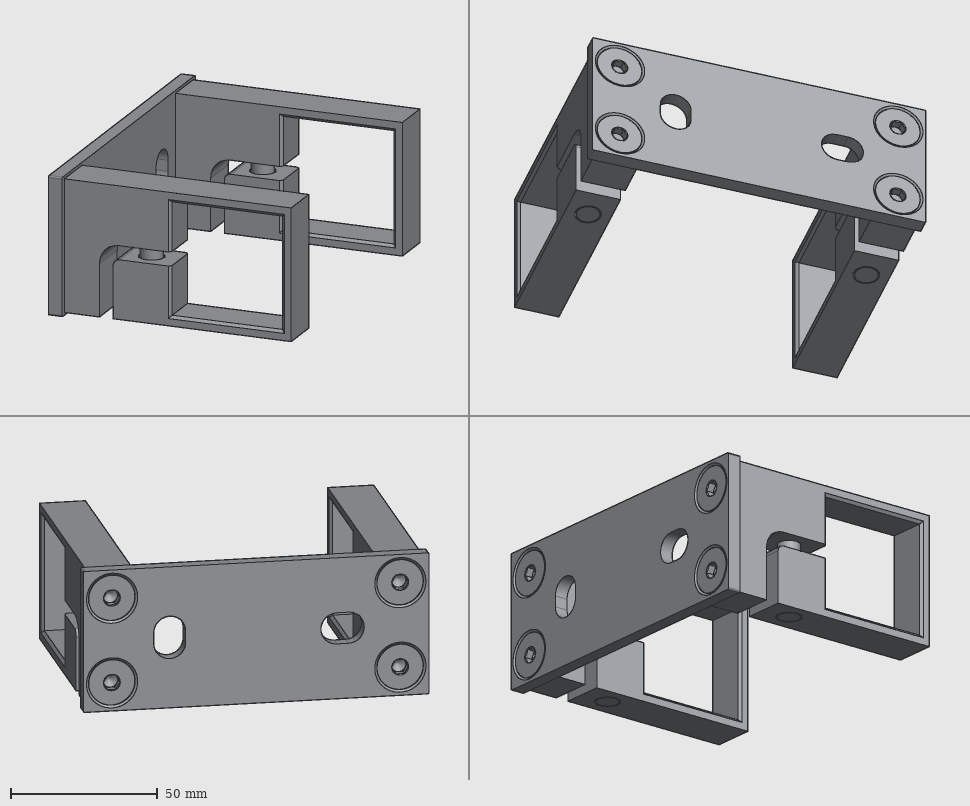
import cadquery as cq
import math

plate_thickness = 5.0
plate_width = 120.0
plate_height = 50.0
plate_corner_radius = 0.53
slot_spacing = 60.0
slot_length = 15.0
slot_width = 11.0

overall_depth = 88.5
bracket_spacing = 100.1
bracket_width = 16.0
bracket_height = 48.0
wall_thickness = 2.5
window_size = 42.7
window_chamfer = 1.02
gap_width = 5.0
gap_start = 18.0
gap_inner_radius = 2.3
gap_outer_radius = gap_inner_radius + gap_width

screw_row_spacing = 30.0
shank_diameter = 8.0
countersink_diameter = 17.8
head_diameter = 16.1
head_recess = 0.4
screw_tip = 15.0
socket_flats = 5.0
socket_corners = socket_flats / math.cos(math.radians(30))
socket_depth = 3.0
socket_tip_depth = 1.5

clamp_screw_x = 34.0
clamp_screw_diameter = shank_diameter
clamp_screw_top = 14.4
clamp_clearance_diameter = 9.0

bracket_length = overall_depth - plate_thickness
window_end = overall_depth - wall_thickness
window_start = window_end - window_size
bracket_centres = [-bracket_spacing / 2, bracket_spacing / 2]
screw_rows = [-screw_row_spacing / 2, screw_row_spacing / 2]
countersink_depth = (countersink_diameter - shank_diameter) / 2
rim_end = (countersink_diameter - head_diameter) / 2


def along_x(x_start):
    """Workplane facing +X whose local axes are Y and Z."""
    return cq.Workplane("YZ", origin=(x_start, 0, 0))


def revolve_about_x(profile):
    """Revolve a closed (X, radius) profile about the X axis."""
    return cq.Workplane("XZ").polyline(profile).close().revolve(360, (0, 0, 0), (1, 0, 0))


def make_screw_space():
    """Countersunk hole, with the blind hole behind it, that receives a plate screw."""
    return revolve_about_x([
        (0, 0),
        (0, countersink_diameter / 2),
        (countersink_depth, shank_diameter / 2),
        (screw_tip, shank_diameter / 2),
        (screw_tip, 0),
    ])


def make_socket():
    """Hexagonal socket with a round chamfered mouth and a conical bottom, starting at X = 0."""
    flats_radius = socket_flats / 2
    corner_radius = socket_corners / 2
    mouth = revolve_about_x([
        (0, 0),
        (0, corner_radius),
        (corner_radius - flats_radius, flats_radius),
        (corner_radius - flats_radius, 0),
    ])
    tip = revolve_about_x([
        (socket_depth, 0),
        (socket_depth, flats_radius),
        (socket_depth + socket_tip_depth, 0),
    ])
    return along_x(0).polygon(6, socket_corners).extrude(socket_depth).union(mouth).union(tip)


def make_plate_screw():
    """Countersunk screw, sunk below the plate face, with a short rim and a hexagonal socket in its head."""
    screw = revolve_about_x([
        (head_recess, 0),
        (head_recess, head_diameter / 2),
        (rim_end, head_diameter / 2),
        (countersink_depth, shank_diameter / 2),
        (screw_tip, shank_diameter / 2),
        (screw_tip, 0),
    ])
    return screw.cut(make_socket().translate((head_recess, 0, 0)))


def make_clamp_screw():
    """Plain pin rising from the bottom face of the bracket into its upper jaw."""
    bottom = -bracket_height / 2
    return (
        cq.Workplane("XY", origin=(clamp_screw_x, 0, bottom))
        .circle(clamp_screw_diameter / 2)
        .extrude(clamp_screw_top - bottom)
    )


def make_plate():
    plate = along_x(0).rect(plate_width, plate_height).extrude(plate_thickness)
    plate = plate.edges("|X").fillet(plate_corner_radius)
    upright_slot = along_x(0).center(slot_spacing / 2, 0).slot2D(slot_length, slot_width, 90)
    level_slot = along_x(0).center(-slot_spacing / 2, 0).slot2D(slot_length, slot_width)
    plate = plate.cut(upright_slot.extrude(plate_thickness))
    plate = plate.cut(level_slot.extrude(plate_thickness))
    for y in bracket_centres:
        for z in screw_rows:
            plate = plate.cut(make_screw_space().translate((0, y, z)))
    return plate


def make_window():
    """Square opening through the bracket, chamfered at both faces."""
    face_y = bracket_width / 2
    window_x = (window_start + window_end) / 2
    opening_size = window_size - 2 * window_chamfer
    window = cq.Workplane("XY").box(opening_size, bracket_width, opening_size)
    mouth = (
        cq.Workplane("XZ", origin=(0, -face_y, 0))
        .rect(window_size, window_size)
        .workplane(offset=-window_chamfer)
        .rect(opening_size, opening_size)
        .loft(ruled=True)
    )
    window = window.union(mouth).union(mouth.mirror("XZ"))
    return window.translate((window_x, 0, 0))


def make_gap():
    """L-shaped gap that runs from the window, round a bend, and out of the bottom face."""
    bottom = -bracket_height / 2
    top = gap_width / 2
    gap_end = gap_start + gap_width
    window_middle = (window_start + window_end) / 2
    return (
        cq.Workplane("XZ")
        .moveTo(gap_start, bottom)
        .lineTo(gap_start, top - gap_outer_radius)
        .radiusArc((gap_start + gap_outer_radius, top), gap_outer_radius)
        .lineTo(window_middle, top)
        .lineTo(window_middle, -top)
        .lineTo(gap_end + gap_inner_radius, -top)
        .radiusArc((gap_end, -top - gap_inner_radius), -gap_inner_radius)
        .lineTo(gap_end, bottom)
        .close()
        .extrude(bracket_width / 2, both=True)
    )


def make_clamp_clearance():
    """Clearance hole for the clamp screw through the lower jaw, from the bottom face to the gap."""
    return (
        cq.Workplane("XY", origin=(clamp_screw_x, 0, -bracket_height / 2))
        .circle(clamp_clearance_diameter / 2)
        .extrude((bracket_height - gap_width) / 2)
    )


def make_bracket():
    """Clamp bracket centred on Y = 0."""
    bracket = along_x(plate_thickness).rect(bracket_width, bracket_height).extrude(bracket_length)
    bracket = bracket.cut(make_window()).cut(make_gap())
    bracket = bracket.cut(make_clamp_screw()).cut(make_clamp_clearance())
    for z in screw_rows:
        bracket = bracket.cut(make_screw_space().translate((0, 0, z)))
    return bracket


bodies = [make_plate().val()]
for y in bracket_centres:
    bodies.append(make_bracket().translate((0, y, 0)).val())
    bodies.append(make_clamp_screw().translate((0, y, 0)).val())
    for z in screw_rows:
        bodies.append(make_plate_screw().translate((0, y, z)).val())

result = cq.Compound.makeCompound(bodies)